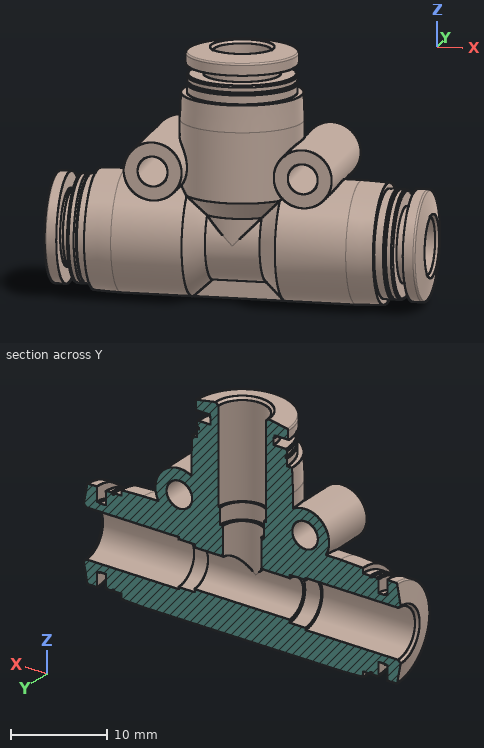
import cadquery as cq

port_reach = 20.2

face_depth = 0.45
flange_round_end = 0.65
flange_end = 1.75
shoulder_end = 2.0
collar_start = 2.83
collar_chamfer_end = 3.05
groove_start = 3.55
groove_floor_start = 3.75
groove_end = 3.88
body_start = 4.8
taper_end = 7.68

face_radius = 11.5 / 2
flange_radius = 11.8 / 2
shoulder_radius = 8.25 / 2
neck_radius = 8.1 / 2
collar_face_radius = 11.27 / 2
collar_radius = 11.5 / 2
groove_radius = 11.1 / 2
body_end_radius = 12.75 / 2
body_radius = 13.0 / 2

waist_half_length = 2.9
waist_cone_end = 4.95
waist_radius = 4.65

through_radius = 4.8 / 2
tube_radius = 6.0 / 2
tube_depth = 12.1
seat_radius = 5.55 / 2
seat_depth = 14.15
mouth_radius = 6.7 / 2
mouth_chamfer = mouth_radius - tube_radius

lug_diameter = 6.2
lug_hole_diameter = 3.2
lug_length = 13.5
lug_offset = 8.0

rib_thickness = 2.0


def revolve_port(profile):
    """Revolve a closed (radius, height) profile about the Z axis."""
    return profile.close().revolve(360, (0, 0, 0), (0, 1, 0))


def port_solid():
    profile = (
        cq.Workplane("XZ")
        .lineTo(waist_radius, 0)
        .lineTo(waist_radius, waist_half_length)
        .lineTo(body_radius, waist_cone_end)
        .lineTo(body_radius, port_reach - taper_end)
        .lineTo(body_end_radius, port_reach - body_start)
        .lineTo(collar_radius, port_reach - body_start)
        .lineTo(collar_radius, port_reach - groove_end)
        .lineTo(groove_radius, port_reach - groove_end)
        .lineTo(groove_radius, port_reach - groove_floor_start)
        .lineTo(collar_radius, port_reach - groove_start)
        .lineTo(collar_radius, port_reach - collar_chamfer_end)
        .lineTo(collar_face_radius, port_reach - collar_start)
        .lineTo(neck_radius, port_reach - collar_start)
        .lineTo(neck_radius, port_reach - shoulder_end)
        .lineTo(shoulder_radius, port_reach - shoulder_end)
        .lineTo(shoulder_radius, port_reach - flange_end)
        .lineTo(flange_radius, port_reach - flange_end)
        .lineTo(flange_radius, port_reach - flange_round_end)
        .tangentArcPoint((face_radius, port_reach - face_depth), relative=False)
        .lineTo(mouth_radius, port_reach)
        .lineTo(0, port_reach)
    )
    return revolve_port(profile)


def port_bore():
    profile = (
        cq.Workplane("XZ")
        .lineTo(through_radius, 0)
        .lineTo(through_radius, port_reach - seat_depth)
        .lineTo(seat_radius, port_reach - seat_depth)
        .lineTo(seat_radius, port_reach - tube_depth)
        .lineTo(tube_radius, port_reach - tube_depth)
        .lineTo(tube_radius, port_reach - mouth_chamfer)
        .lineTo(mouth_radius, port_reach)
        .lineTo(0, port_reach)
    )
    return revolve_port(profile)


def three_ways(shape):
    """Join copies of a +Z shape pointing along +Z, +X and -X."""
    joined = shape
    for angle in (90, -90):
        joined = joined.union(shape.rotate((0, 0, 0), (0, 1, 0), angle))
    return joined


def lug_cylinders(diameter):
    return (
        cq.Workplane("XZ", origin=(0, lug_length / 2, 0))
        .pushPoints([(-lug_offset, lug_offset), (lug_offset, lug_offset)])
        .circle(diameter / 2)
        .extrude(lug_length)
    )


def waist_rib():
    """Flat rib below the waist, level with the underside of the bodies."""
    return (
        cq.Workplane("XY")
        .workplane(offset=-body_radius)
        .rect(2 * waist_cone_end, rib_thickness)
        .extrude(body_radius)
    )


rib_envelope = cq.Workplane("YZ").circle(body_radius).extrude(waist_cone_end, both=True)

result = three_ways(port_solid())
result = result.union(waist_rib().intersect(rib_envelope))
result = result.union(lug_cylinders(lug_diameter))
result = result.cut(three_ways(port_bore()))
result = result.cut(lug_cylinders(lug_hole_diameter))